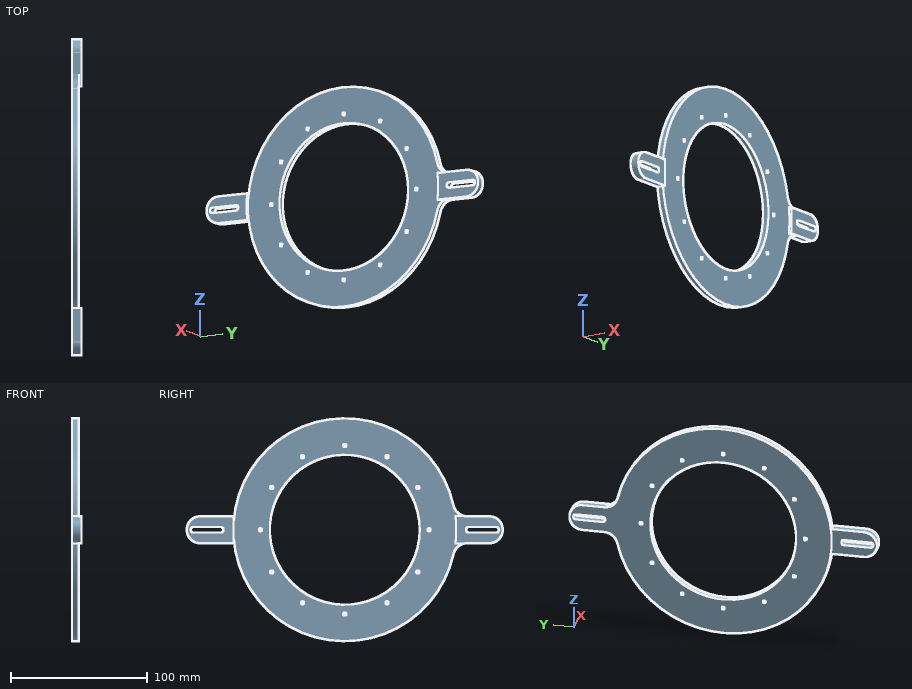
import cadquery as cq
import math

ring_radius = 82.0
bore_diameter = 110.0
ring_thickness = 5.0
hole_count = 12
hole_diameter = 2.0
hole_circle_radius = 62.0

ear_thickness = 7.0
ear_width = 20.0
ear_tip = 116.215
blend_radius = 10.0

slot_length = 24.0
slot_width = 4.0
slot_end_margin = 3.0

ear_half_width = ear_width / 2
ear_root = math.sqrt(ring_radius**2 - ear_half_width**2)
ear_round_center = ear_tip - ear_half_width
slot_center = ear_tip - slot_end_margin - slot_length / 2

blend_center_z = ear_half_width + blend_radius
blend_center_y = math.sqrt((ring_radius + blend_radius) ** 2 - blend_center_z**2)
ring_share = ring_radius / (ring_radius + blend_radius)
blend_ring_y = blend_center_y * ring_share
blend_ring_z = blend_center_z * ring_share
blend_angle = math.atan2(blend_center_z, blend_center_y)
blend_mid_angle = (blend_angle + math.pi / 2) / 2
blend_mid_y = blend_center_y - blend_radius * math.cos(blend_mid_angle)
blend_mid_z = blend_center_z - blend_radius * math.sin(blend_mid_angle)


def make_ear(side):
    """Round-ended slotted ear whose root follows the ring edge; side is +1 or -1 along Y."""
    ear = (
        cq.Workplane("YZ")
        .moveTo(side * ear_root, ear_half_width)
        .lineTo(side * ear_round_center, ear_half_width)
        .threePointArc((side * ear_tip, 0), (side * ear_round_center, -ear_half_width))
        .lineTo(side * ear_root, -ear_half_width)
        .threePointArc((side * ring_radius, 0), (side * ear_root, ear_half_width))
        .close()
        .extrude(ear_thickness)
    )
    slot = (
        cq.Workplane("YZ")
        .center(side * slot_center, 0)
        .slot2D(slot_length, slot_width)
        .extrude(ear_thickness)
    )
    return ear.cut(slot)


def make_blend(side):
    """Corner fill between the ring and the +Y ear; side is +1 or -1 along Z."""
    return (
        cq.Workplane("YZ")
        .moveTo(blend_ring_y, side * ear_half_width)
        .lineTo(blend_center_y, side * ear_half_width)
        .threePointArc((blend_mid_y, side * blend_mid_z), (blend_ring_y, side * blend_ring_z))
        .close()
        .extrude(ring_thickness)
    )


def make_ring_plate():
    """Ring with one ear blended into its +Y side."""
    plate = cq.Workplane("YZ").circle(ring_radius).extrude(ring_thickness)
    for side in (1, -1):
        plate = plate.union(make_blend(side))
    plate = plate.union(make_ear(1))
    bore = cq.Workplane("YZ").circle(bore_diameter / 2).extrude(ring_thickness)
    holes = (
        cq.Workplane("YZ")
        .polarArray(hole_circle_radius, 0, 360, hole_count)
        .circle(hole_diameter / 2)
        .extrude(ring_thickness)
    )
    return plate.cut(bore).cut(holes)


ring_plate = make_ring_plate()
separate_ear = make_ear(-1)

result = cq.Compound.makeCompound([ring_plate.val(), separate_ear.val()])